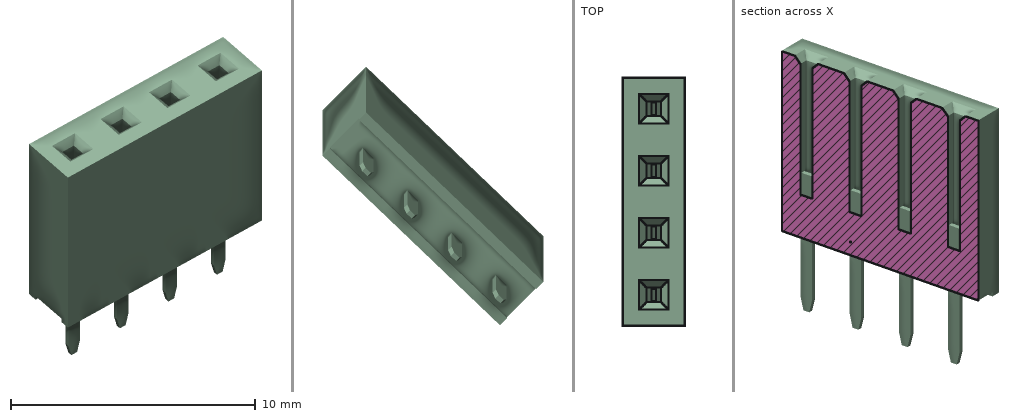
import cadquery as cq

pitch = 2.54
contact_count = 4
body_width = pitch
body_length = contact_count * pitch
body_height = 8.5

channel_width = 1.7
channel_depth = 0.2

funnel_side = 1.2
hole_side = 0.6
funnel_depth = 0.3
hole_depth = 6.0

tongue_width = 0.5
tongue_height = 1.0

pin_thickness = 0.2
pin_width = 0.6
pin_tip_width = 0.3
pin_taper_length = 0.6
pin_length = 3.1

contact_positions = [(i - (contact_count - 1) / 2) * pitch for i in range(contact_count)]


def make_body():
    """Rectangular housing with the standoff channel cut along its underside."""
    block = cq.Workplane("XY").box(body_width, body_length, body_height, centered=(True, True, False))
    channel = cq.Workplane("XY").box(
        channel_width, body_length, channel_depth, centered=(True, True, False)
    )
    return block.cut(channel)


def make_socket(y):
    """Volume removed for one socket: lead-in funnel plus straight hole."""
    funnel = (
        cq.Workplane("XY", origin=(0, y, body_height))
        .rect(funnel_side, funnel_side)
        .workplane(offset=-funnel_depth)
        .rect(hole_side, hole_side)
        .loft(ruled=True)
    )
    hole = (
        cq.Workplane("XY", origin=(0, y, body_height - funnel_depth))
        .rect(hole_side, hole_side)
        .extrude(-hole_depth)
    )
    return funnel.union(hole)


def make_tongue(y):
    """Contact tongue rising from the hole floor, in line with the pin."""
    floor_z = body_height - funnel_depth - hole_depth
    return (
        cq.Workplane("XY", origin=(0, y, floor_z))
        .rect(pin_thickness, tongue_width)
        .extrude(tongue_height)
    )


def make_pin(y):
    """Solder pin from the channel roof down to its tapered tip."""
    taper_start_z = pin_taper_length - pin_length
    return (
        cq.Workplane("YZ", origin=(0, y, 0))
        .moveTo(-pin_width / 2, channel_depth)
        .lineTo(-pin_width / 2, taper_start_z)
        .lineTo(-pin_tip_width / 2, -pin_length)
        .lineTo(pin_tip_width / 2, -pin_length)
        .lineTo(pin_width / 2, taper_start_z)
        .lineTo(pin_width / 2, channel_depth)
        .close()
        .extrude(pin_thickness / 2, both=True)
    )


result = make_body()
for contact_y in contact_positions:
    result = result.cut(make_socket(contact_y))
    result = result.union(make_tongue(contact_y))
    result = result.union(make_pin(contact_y))